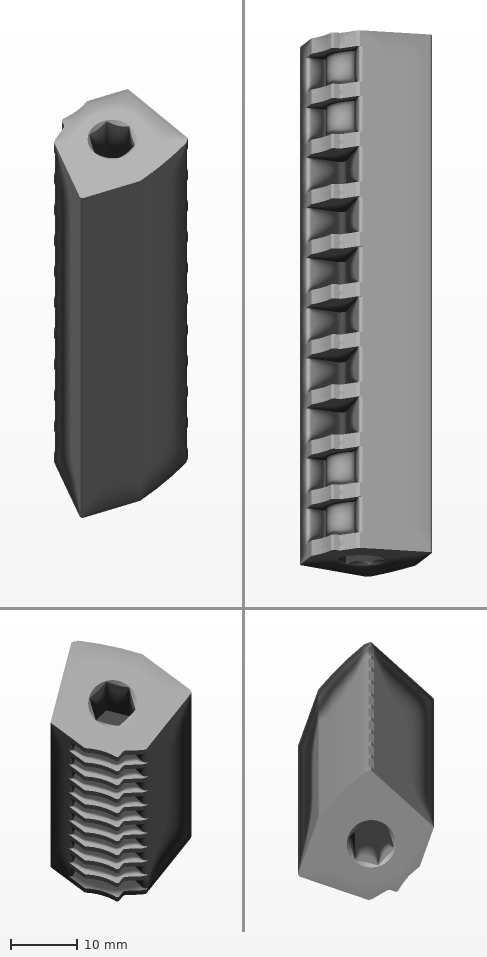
import cadquery as cq
import math

length = 80.0
width = 17.0
depth = 19.2

left_face_bottom = 7.4
left_face_top = 14.0
peak_x = 11.9
peak_bevel_x = 12.7
peak_bevel_y = 18.6
right_arc_mid = (14.6, 15.0)
right_face_top = 9.6
front_right_fillet = 0.5
left_face_fillet = 0.2

corner_arc_mid = (1.0, 5.6)
step_wall_x = 1.8
step_y = 2.6
step_fillet_height = 0.6
step_fillet_width = 0.3
step_end_x = 3.0
slope_start = (3.4, 2.3)
step_end_radius = 0.6
slope_end = (5.0, 0.4)
front_face_start = 5.5

pocket_count = 10
pocket_height = 5.5
end_rib_height = 2.4
pocket_pitch = (length - 2 * end_rib_height - pocket_height) / (pocket_count - 1)

opening_left_y = 10.6
opening_front_x = 6.0
lip_radius = 0.6
left_wall_angle = 20.0
pocket_apex = (6.6, 12.1)
apex_fillet = 1.0
overcut = 1.6

socket_center = (8.1, 8.4)
socket_corner_radius = 3.6
socket_angle = -7.0
socket_depth = 16.0
countersink_radius = 3.7
boss_radius = 5.3
boss_fillet = 0.3
bossed_pockets_per_end = 2

notch_depth = 0.2


def cross_section():
    """Outline of the bar at a rib."""
    step_top = step_y + step_fillet_height
    return (
        cq.Workplane("XY")
        .moveTo(0, left_face_top)
        .lineTo(0, left_face_bottom)
        .threePointArc(corner_arc_mid, (step_wall_x, step_top))
        .radiusArc((step_wall_x + step_fillet_width, step_y), -step_fillet_height)
        .lineTo(step_end_x, step_y)
        .radiusArc(slope_start, step_end_radius)
        .lineTo(*slope_end)
        .lineTo(front_face_start, 0)
        .lineTo(width, 0)
        .lineTo(width, right_face_top)
        .threePointArc(right_arc_mid, (peak_bevel_x, peak_bevel_y))
        .lineTo(peak_x, depth)
        .close()
    )


def upright_edge(x, y, height):
    """Selector for the upright edge at (x, y) of a prism standing on Z = 0."""
    return cq.selectors.NearestToPointSelector((x, y, height / 2))


def bar():
    """Full-length bar with its left face and front-right edges rounded."""
    return (
        cross_section()
        .extrude(length)
        .edges(upright_edge(0, left_face_top, length))
        .fillet(left_face_fillet)
        .edges(upright_edge(0, left_face_bottom, length))
        .fillet(left_face_fillet)
        .edges(upright_edge(width, 0, length))
        .fillet(front_right_fillet)
    )


def pocket():
    """Wedge-shaped pocket with rounded lips, standing on Z = 0."""
    wall_angle = math.radians(left_wall_angle)
    left_lip_end = (
        lip_radius * (1 + math.sin(wall_angle)),
        opening_left_y - lip_radius * math.cos(wall_angle),
    )
    return (
        cq.Workplane("XY")
        .moveTo(-overcut, opening_left_y)
        .lineTo(0, opening_left_y)
        .radiusArc(left_lip_end, -lip_radius)
        .lineTo(*pocket_apex)
        .lineTo(opening_front_x - lip_radius, lip_radius)
        .radiusArc((opening_front_x, 0), -lip_radius)
        .lineTo(opening_front_x, -overcut)
        .lineTo(-overcut, -overcut)
        .close()
        .extrude(pocket_height)
        .edges(upright_edge(*pocket_apex, pocket_height))
        .fillet(apex_fillet)
    )


def on_boss_wall(edge):
    """True for an edge where the boss meets a pocket wall."""
    center = edge.Center()
    distance = math.hypot(center.x - socket_center[0], center.y - socket_center[1])
    return math.isclose(distance, boss_radius, abs_tol=0.001)


def bossed_pocket():
    """Pocket whose inner end is filled by the round boss around a socket."""
    boss = cq.Workplane("XY").center(*socket_center).circle(boss_radius).extrude(pocket_height)
    return pocket().cut(boss).edges("|Z").filter(on_boss_wall).fillet(boss_fillet)


def peak_notch():
    """Block that trims the very tip of the peak edge along one pocket."""
    return (
        cq.Workplane("XY")
        .box(width, overcut, pocket_height, centered=(True, False, False))
        .translate((peak_x, depth - notch_depth, 0))
    )


def socket():
    """Countersunk hexagonal socket opening at Z = 0 and running to +Z."""
    hexagon = (
        cq.Workplane("XY")
        .polygon(6, 2 * socket_corner_radius)
        .extrude(socket_depth)
        .rotate((0, 0, 0), (0, 0, 1), socket_angle)
    )
    countersink = cq.Workplane("XY").add(
        cq.Solid.makeCone(countersink_radius, 0, countersink_radius)
    )
    return hexagon.union(countersink).translate((*socket_center, 0))


body = bar()

plain_cutter = pocket()
bossed_cutter = bossed_pocket()

for index in range(pocket_count):
    distance_from_end = min(index, pocket_count - 1 - index)
    cutter = bossed_cutter if distance_from_end < bossed_pockets_per_end else plain_cutter
    shift = (0, 0, end_rib_height + index * pocket_pitch)
    body = body.cut(cutter.translate(shift)).cut(peak_notch().translate(shift))

bottom_socket = socket()
top_socket = bottom_socket.mirror("XY").translate((0, 0, length))
result = body.cut(bottom_socket).cut(top_socket)